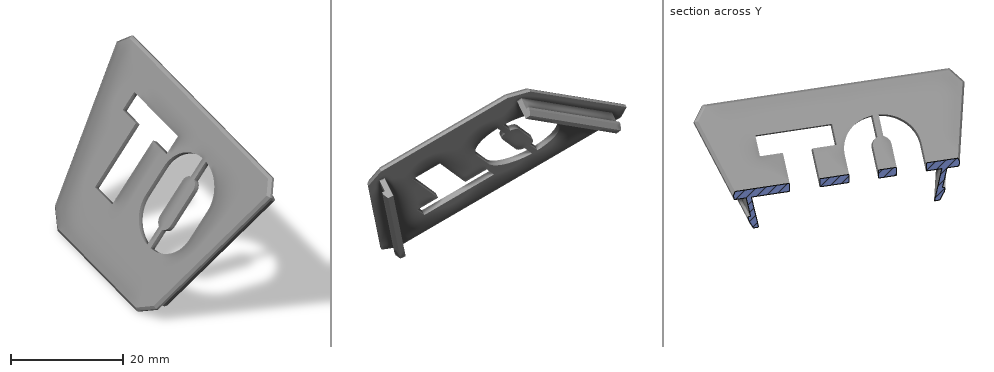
import cadquery as cq

slope_angle = 52.0
plate_height = 35.95
plate_thickness = 1.05
edge_chamfer = 0.5
widest_half = 25.7
top_half = 23.45
lower_half = 16.95
bottom_half = 13.25
corner_height = 2.9

rail_height = 3.75
rail_thickness = 1.05
rail_inset = 2.15
rail_top_gap = 1.85
rail_bottom_overrun = 0.1
lip_reach = 0.5
lip_start = 2.25
lip_edge = 0.5

t_left = -15.15
t_right = -0.55
stem_left = -10.8
stem_right = -5.1
t_top = 28.95
t_bar_bottom = 25.05
t_bottom = 11.0

o_center = (7.8, 19.9)
o_half_width = 7.3
o_half_height = 9.5
o_straight_half = 3.1
island_half_width = 1.75
island_half_height = 5.55
island_straight_half = 3.8
bridge_width = 1.15

upper_corner = (widest_half, plate_height - corner_height)
lower_corner = (lower_half, corner_height)


def mirrored_x(point):
    return (-point[0], point[1])


def make_plate():
    right_side = [(bottom_half, 0), lower_corner, upper_corner, (top_half, plate_height)]
    left_side = [mirrored_x(point) for point in reversed(right_side)]
    plate = cq.Workplane("XY").polyline(right_side + left_side).close().extrude(-plate_thickness)
    return plate.faces(">Z").chamfer(edge_chamfer)


def make_rail():
    """Right-hand rail: a wall with an outward lip that tapers towards its free edge."""
    along = cq.Vector(*upper_corner) - cq.Vector(*lower_corner)
    length = along.Length - rail_top_gap + rail_bottom_overrun
    direction = along.normalized()
    start = cq.Vector(*lower_corner) - direction * rail_bottom_overrun
    outward = cq.Vector(direction.y, -direction.x)
    section_plane = cq.Plane(
        origin=(start.x, start.y, -plate_thickness), xDir=outward.toTuple(), normal=(-direction).toTuple()
    )
    outer = -rail_inset
    inner = outer - rail_thickness
    section = [
        (inner, 0),
        (outer, 0),
        (outer, -lip_start),
        (outer + lip_reach, -lip_start),
        (outer + lip_reach, -lip_start - lip_edge),
        (outer, -rail_height),
        (inner, -rail_height),
    ]
    return cq.Workplane(section_plane).polyline(section).close().extrude(-length)


def make_t():
    outline = [
        (t_left, t_top),
        (t_right, t_top),
        (t_right, t_bar_bottom),
        (stem_right, t_bar_bottom),
        (stem_right, t_bottom),
        (stem_left, t_bottom),
        (stem_left, t_bar_bottom),
        (t_left, t_bar_bottom),
    ]
    return cq.Workplane("XY").polyline(outline).close().extrude(-plate_thickness)


def make_oval(half_width, half_height, straight_half):
    """Upright oval with straight sides and half-ellipse ends."""
    end_height = half_height - straight_half
    block = cq.Workplane("XY").center(*o_center).rect(2 * half_width, 2 * straight_half)
    oval = block.extrude(-plate_thickness)
    for side in (-1, 1):
        end_center = (o_center[0], o_center[1] + side * straight_half)
        end = cq.Workplane("XY").center(*end_center).ellipse(half_width, end_height)
        oval = oval.union(end.extrude(-plate_thickness))
    return oval


def make_o():
    outer = make_oval(o_half_width, o_half_height, o_straight_half)
    island = make_oval(island_half_width, island_half_height, island_straight_half)
    bridge = cq.Workplane("XY").center(*o_center).rect(bridge_width, 2 * o_half_height)
    return outer.cut(island).cut(bridge.extrude(-plate_thickness))


rail = make_rail()
body = make_plate().cut(make_t()).cut(make_o())
body = body.union(rail).union(rail.mirror("YZ"))

result = body.rotate((0, 0, 0), (1, 0, 0), slope_angle)